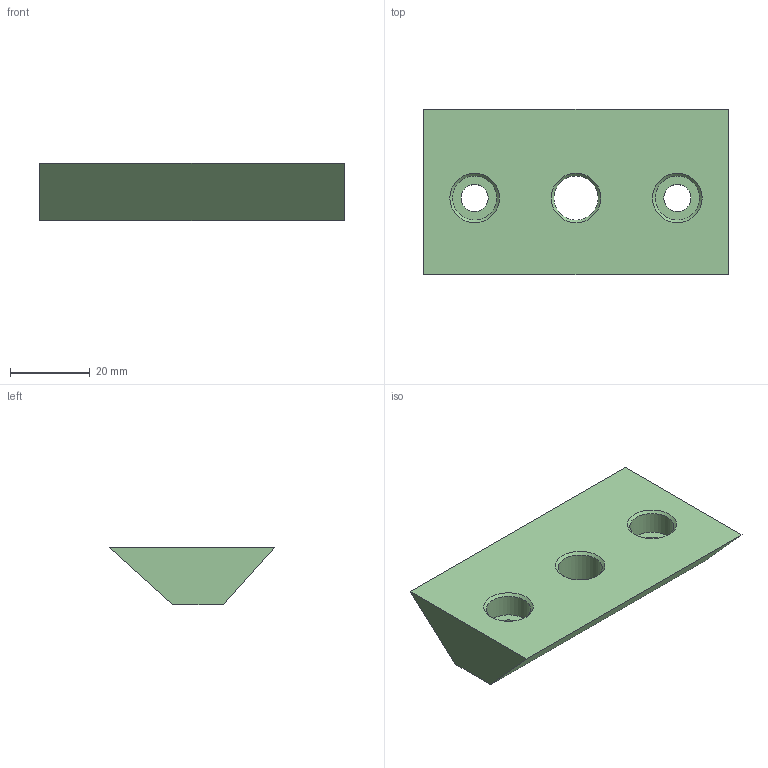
import cadquery as cq
import math

length = 76.2
height = 14.3
top_width = 41.45
back_slope = math.radians(42.0)
front_slope = math.radians(48.0)

hole_spacing = 25.4
bore_diameter = 11.1
bore_mouth_diameter = 12.4
screw_diameter = 6.8
counterbore_depth = 6.35

back_overhang = height / math.tan(back_slope)
front_overhang = height / math.tan(front_slope)
bottom_width = top_width - back_overhang - front_overhang
bevel = (bore_mouth_diameter - bore_diameter) / 2


def wedge_bar():
    """Trapezoidal bar with the middle of its bottom face at the origin."""
    half_bottom = bottom_width / 2
    profile = [
        (-half_bottom, 0),
        (half_bottom, 0),
        (half_bottom + back_overhang, height),
        (-half_bottom - front_overhang, height),
    ]
    return cq.Workplane("YZ").polyline(profile).close().extrude(length / 2, both=True)


def bore(x, depth):
    """Cutter for a bore from the top face with a 45 degree bevel at its mouth."""
    radius = bore_diameter / 2
    outline = [
        (0, height),
        (radius + bevel, height),
        (radius, height - bevel),
        (radius, height - depth),
        (0, height - depth),
    ]
    cutter = cq.Workplane("XZ").polyline(outline).close().revolve(360, (0, 0), (0, 1))
    return cutter.translate((x, 0, 0))


def screw_hole(x):
    """Cutter for a through hole below a bevelled counterbore."""
    shank = cq.Workplane("XY").center(x, 0).circle(screw_diameter / 2).extrude(height)
    return shank.union(bore(x, counterbore_depth))


result = wedge_bar().cut(bore(0, height))
for screw_x in (-hole_spacing, hole_spacing):
    result = result.cut(screw_hole(screw_x))